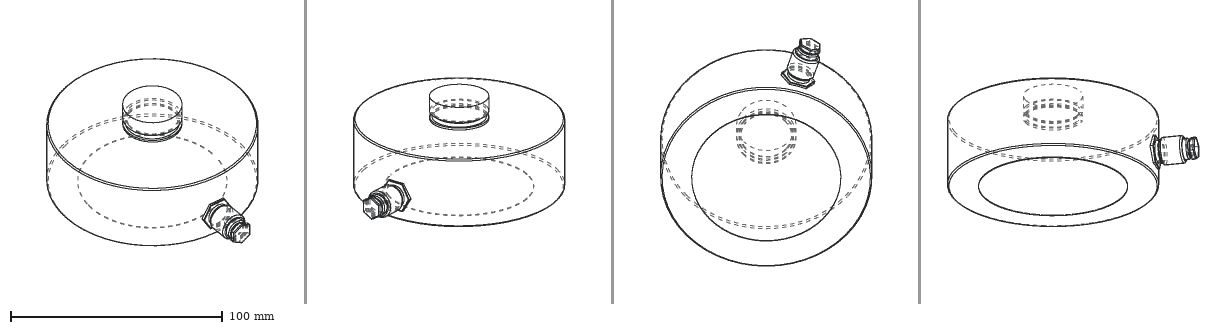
import cadquery as cq
import math

overall_length = 120.0
overall_height = 48.0
body_diameter = 100.0
body_radius = body_diameter / 2
body_top = 35.0
edge_chamfer = 0.7
foot_radius = 35.3
foot_height = 0.4

button_radius = 14.0
button_bottom = 39.0
button_rim = 46.7
collar_top = 36.0
groove_edge_radius = 12.8
groove_root_radius = 12.0
groove_root_height = 37.5

gland_height = 12.6
flange_half_flats = 7.1
flange_end = 51.0
flange_embed = 1.5
flange_chamfer = 0.2
nut_half_flats = 4.9
nut_start = 67.8
nut_end = overall_length - body_radius
nut_chamfer = 0.5

inner_neck_radius = 5.4
inner_neck_end = 52.7
sleeve_radius = 6.6
sleeve_end = 64.2
sleeve_chamfer = 0.8
lip_radius = sleeve_radius - sleeve_chamfer
lip_length = 0.5
outer_neck_radius = 5.0
outer_neck_end = 66.0
groove_radius = 4.5
groove_start = 66.7
groove_end = 67.3
nut_collar_radius = 4.8


def make_housing():
    """Chamfered drum with a shallow foot and a grooved button under a spherical dome."""
    arc_height = button_bottom - groove_root_height
    arc_depth = groove_edge_radius - groove_root_radius
    arc_radius = (arc_height**2 + arc_depth**2) / (2 * arc_depth)

    profile = (
        cq.Workplane("XZ")
        .moveTo(0, 0)
        .lineTo(foot_radius, 0)
        .lineTo(foot_radius, foot_height)
        .lineTo(body_radius - edge_chamfer, foot_height)
        .lineTo(body_radius, foot_height + edge_chamfer)
        .lineTo(body_radius, body_top - edge_chamfer)
        .lineTo(body_radius - edge_chamfer, body_top)
        .lineTo(button_radius, body_top)
        .lineTo(button_radius, collar_top)
        .lineTo(groove_edge_radius, collar_top)
        .lineTo(groove_root_radius, groove_root_height)
        .radiusArc((groove_edge_radius, button_bottom), arc_radius)
        .lineTo(button_radius, button_bottom)
        .lineTo(button_radius, button_rim)
    )
    dome_rise = overall_height - button_rim
    dome_radius = (button_radius**2 + dome_rise**2) / (2 * dome_rise)
    half_radius = button_radius / 2
    dome_mid_height = overall_height - dome_radius + math.sqrt(dome_radius**2 - half_radius**2)
    profile = profile.threePointArc((half_radius, dome_mid_height), (0, overall_height)).close()
    return profile.revolve(360, (0, 0, 0), (0, 1, 0))


def hexagon(half_flats, start, end, turn):
    """Hexagonal prism along the gland axis; a turn of 0 puts corners on the Y sides."""
    corner_diameter = 2 * half_flats / math.cos(math.radians(30))
    return (
        cq.Workplane("YZ", origin=(start, 0, gland_height))
        .transformed(rotate=(0, 0, turn))
        .polygon(6, corner_diameter)
        .extrude(end - start)
    )


def make_gland_barrel():
    """Turned barrel between the two hexagons, with its necks, sleeve and groove."""
    sleeve_start = inner_neck_end + lip_length
    return (
        cq.Workplane("XZ")
        .moveTo(flange_end, 0)
        .lineTo(flange_end, inner_neck_radius)
        .lineTo(inner_neck_end, inner_neck_radius)
        .lineTo(inner_neck_end, lip_radius)
        .lineTo(sleeve_start, lip_radius)
        .lineTo(sleeve_start + sleeve_chamfer, sleeve_radius)
        .lineTo(sleeve_end - sleeve_chamfer, sleeve_radius)
        .lineTo(sleeve_end, lip_radius)
        .lineTo(sleeve_end, outer_neck_radius)
        .lineTo(outer_neck_end, outer_neck_radius)
        .lineTo(groove_start, groove_radius)
        .lineTo(groove_end, groove_radius)
        .lineTo(nut_start, nut_collar_radius)
        .lineTo(nut_start, 0)
        .close()
        .revolve(360, (0, 0, 0), (1, 0, 0))
        .translate((0, 0, gland_height))
    )


def make_gland(housing):
    """Cable gland whose hexagonal flange is shaped to the curved wall of the housing."""
    flange_start = body_radius - flange_embed
    flange = hexagon(flange_half_flats, flange_start, flange_end, turn=0)
    flange = flange.faces(">X").chamfer(flange_chamfer).cut(housing)
    nut = hexagon(nut_half_flats, nut_start, nut_end, turn=30).faces(">X").chamfer(nut_chamfer)
    return flange.union(make_gland_barrel()).union(nut)


housing = make_housing()
gland = make_gland(housing)

result = cq.Compound.makeCompound([housing.val(), *gland.solids().vals()])